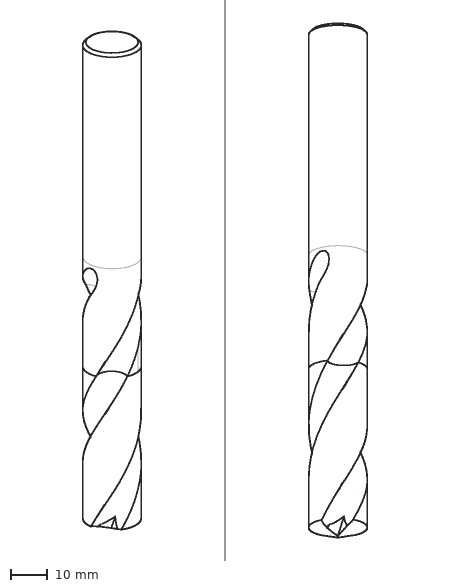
import cadquery as cq
import math

LENGTH = 145.0
RADIUS = 16.0 / 2
SPLIT_Z = 48.3
FLUTE_TOP_Z = 71.2
FLUTED_SECTION_TOP_Z = 81.0
END_CHAMFER = 0.9

POINT_HALF_ANGLE = 70.0
POINT_HEIGHT = RADIUS / math.tan(math.radians(POINT_HALF_ANGLE))

FLUTE_COUNT = 2
FLUTE_PITCH = 84.7
FLUTE_CUTTER_RADIUS = 4.4
FLUTE_CUTTER_OFFSET = 7.7
FLUTE_ANGLE_AT_SPLIT = -63.0
RUNOUT_RADIAL = 1.9
RUNOUT_TANGENTIAL = 7.7
RUNOUT_HEIGHT = 8.7

GASH_TIP = cq.Vector(0, -0.6, 0)
GASH_PEAK = cq.Vector(3.6, -3.8, 7.4)
GASH_LEFT = cq.Vector(-2.3, -4.4, 1.5)
GASH_RIGHT = cq.Vector(4.8, -4.8, 1.7)


def flute_angle(z):
    """Direction in degrees of the first flute at height z."""
    return FLUTE_ANGLE_AT_SPLIT + 360 * (z - SPLIT_Z) / FLUTE_PITCH


def flute_directions(z):
    return [flute_angle(z) + 360 * i / FLUTE_COUNT for i in range(FLUTE_COUNT)]


def cutter_circle(z):
    return cq.Workplane("XY", origin=(0, 0, z)).moveTo(FLUTE_CUTTER_OFFSET, 0).circle(FLUTE_CUTTER_RADIUS)


def turned(shape, angle):
    return shape.rotate((0, 0, 0), (0, 0, 1), angle)


def cut_flutes(body, bottom, top):
    """Cut the helical flutes between two heights."""
    height = top - bottom
    cutter = cutter_circle(bottom).twistExtrude(height, 360 * height / FLUTE_PITCH)
    for angle in flute_directions(bottom):
        body = body.cut(turned(cutter, angle))
    return body


def cut_runouts(body):
    """Continue each flute along a straight slanted path that leaves the shank."""
    profile = cutter_circle(FLUTE_TOP_Z).wires().val()
    path = cq.Vector(RUNOUT_RADIAL, RUNOUT_TANGENTIAL, RUNOUT_HEIGHT)
    cutter = cq.Workplane(cq.Solid.extrudeLinear(profile, [], path))
    for angle in flute_directions(FLUTE_TOP_Z):
        body = body.cut(turned(cutter, angle))
    return body


def make_gash():
    corners = [GASH_TIP, GASH_PEAK, GASH_LEFT, GASH_RIGHT]
    faces = []
    for opposite in corners:
        triangle = [corner for corner in corners if corner is not opposite]
        faces.append(cq.Face.makeFromWires(cq.Wire.makePolygon(triangle, close=True)))
    return cq.Workplane(cq.Solid.makeSolid(cq.Shell.makeShell(faces)))


def cut_gashes(body):
    gash = make_gash()
    for i in range(FLUTE_COUNT):
        body = body.cut(turned(gash, 360 * i / FLUTE_COUNT))
    return body


def make_cutting_head():
    head = (
        cq.Workplane("XZ")
        .polyline([(0, 0), (RADIUS, POINT_HEIGHT), (RADIUS, SPLIT_Z), (0, SPLIT_Z)])
        .close()
        .revolve(360, (0, 0), (0, 1))
    )
    head = cut_flutes(head, 0, SPLIT_Z)
    return cut_gashes(head)


def make_shank():
    fluted_section = (
        cq.Workplane("XY", origin=(0, 0, SPLIT_Z))
        .circle(RADIUS)
        .extrude(FLUTED_SECTION_TOP_Z - SPLIT_Z)
    )
    fluted_section = cut_flutes(fluted_section, SPLIT_Z, FLUTE_TOP_Z)
    fluted_section = cut_runouts(fluted_section)
    grip = (
        cq.Workplane("XY", origin=(0, 0, FLUTED_SECTION_TOP_Z))
        .circle(RADIUS)
        .extrude(LENGTH - FLUTED_SECTION_TOP_Z)
        .faces(">Z")
        .chamfer(END_CHAMFER)
    )
    return fluted_section.union(grip, clean=False)


cutting_head = make_cutting_head()
shank = make_shank()

result = cq.Compound.makeCompound([cutting_head.solids().val(), shank.solids().val()])